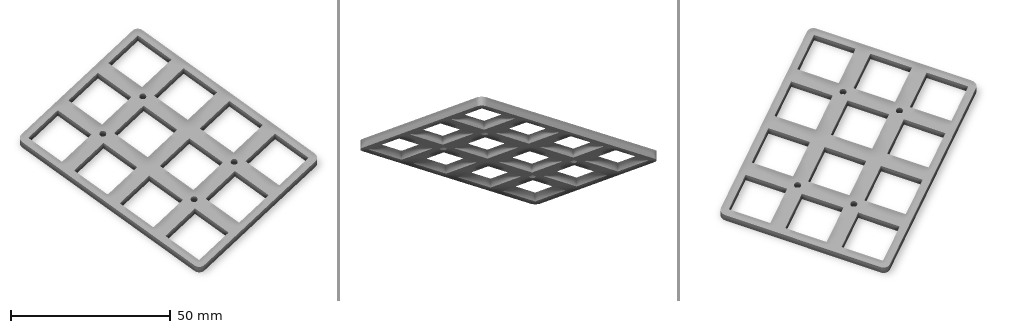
import cadquery as cq

columns = 4
rows = 3
pitch = 19.05
cutout_side = 14.0

length = columns * pitch
width = rows * pitch
thickness = 3.0
corner_radius = 2.2

screw_hole_diameter = 2.2
screw_spacing_x = length - 2 * pitch
screw_spacing_y = width - 2 * pitch


def make_plate():
    plate = cq.Workplane("XY").box(length, width, thickness)
    return plate.edges("|Z").fillet(corner_radius)


def cut_key_openings(plate):
    return (
        plate.faces(">Z").workplane()
        .rarray(pitch, pitch, columns, rows)
        .rect(cutout_side, cutout_side)
        .cutThruAll()
    )


def drill_screw_holes(plate):
    return (
        plate.faces(">Z").workplane()
        .rect(screw_spacing_x, screw_spacing_y, forConstruction=True)
        .vertices()
        .hole(screw_hole_diameter)
    )


result = drill_screw_holes(cut_key_openings(make_plate()))